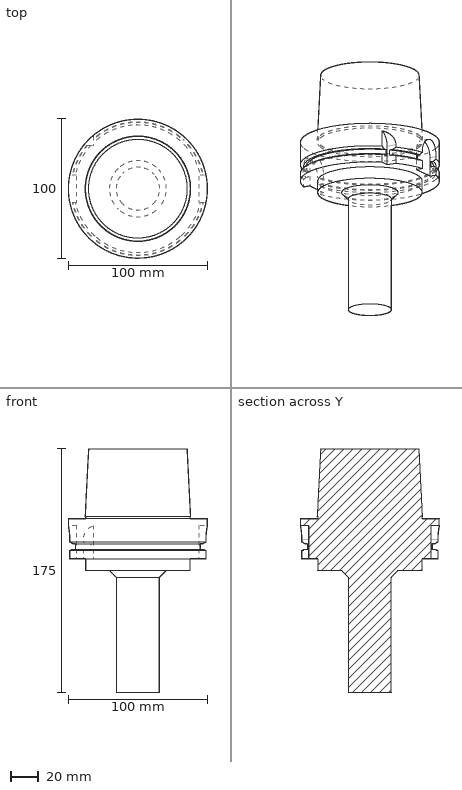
import cadquery as cq

total_length = 175.0
taper_height = 50.0
shank_bottom_z = taper_height - total_length

taper_top_diameter = 70.9
taper_base_diameter = 75.8
relief_diameter = 75.0
relief_height = 1.5

flange_diameter = 100.0
flange_bottom_z = -28.9
groove_diameter = 91.9
groove_top_z = -16.8
groove_bottom_z = -23.1
groove_top_bevel_height = 1.4
groove_top_bevel_depth = 2.3
groove_bottom_bevel_height = 1.0
groove_bottom_bevel_depth = 2.0

collar_diameter = 75.0
collar_bottom_z = -37.5
cone_top_diameter = 40.6
shank_diameter = 31.0
cone_height = (cone_top_diameter - shank_diameter) / 2

slot_width = 20.0
slot_top_z = -5.0
key_floor_x = 44.0
notch_floor_x = 31.8
notch_center_y = 41.1


def revolved_body():
    """Taper, flange, collar, cone and shank as one turned profile."""
    flange_radius = flange_diameter / 2
    groove_radius = groove_diameter / 2
    upper_wall_z = groove_top_z - groove_top_bevel_height
    lower_wall_z = groove_bottom_z + groove_bottom_bevel_height
    profile = [
        (0, taper_height),
        (taper_top_diameter / 2, taper_height),
        (taper_base_diameter / 2, relief_height),
        (relief_diameter / 2, relief_height),
        (relief_diameter / 2, 0),
        (flange_radius, 0),
        (flange_radius, groove_top_z),
        (flange_radius - groove_top_bevel_depth, upper_wall_z),
        (groove_radius, upper_wall_z),
        (groove_radius, lower_wall_z),
        (flange_radius - groove_bottom_bevel_depth, lower_wall_z),
        (flange_radius, groove_bottom_z),
        (flange_radius, flange_bottom_z),
        (collar_diameter / 2, flange_bottom_z),
        (collar_diameter / 2, collar_bottom_z),
        (cone_top_diameter / 2, collar_bottom_z),
        (shank_diameter / 2, collar_bottom_z - cone_height),
        (shank_diameter / 2, shank_bottom_z),
        (0, shank_bottom_z),
    ]
    return cq.Workplane("XZ").polyline(profile).close().revolve(360, (0, 0), (0, 1))


def rim_slot(center_y, floor_x, side):
    """Round-topped cutter from floor_x out past the rim; side is +1 or -1 along X."""
    radius = slot_width / 2
    spring_z = slot_top_z - radius
    return (
        cq.Workplane("YZ", origin=(side * floor_x, 0, 0))
        .moveTo(center_y - radius, flange_bottom_z)
        .lineTo(center_y - radius, spring_z)
        .threePointArc((center_y, slot_top_z), (center_y + radius, spring_z))
        .lineTo(center_y + radius, flange_bottom_z)
        .close()
        .extrude(side * flange_diameter / 2)
    )


result = revolved_body()

for side in (-1, 1):
    result = result.cut(rim_slot(0, key_floor_x, side))

result = result.cut(rim_slot(notch_center_y, notch_floor_x, -1))